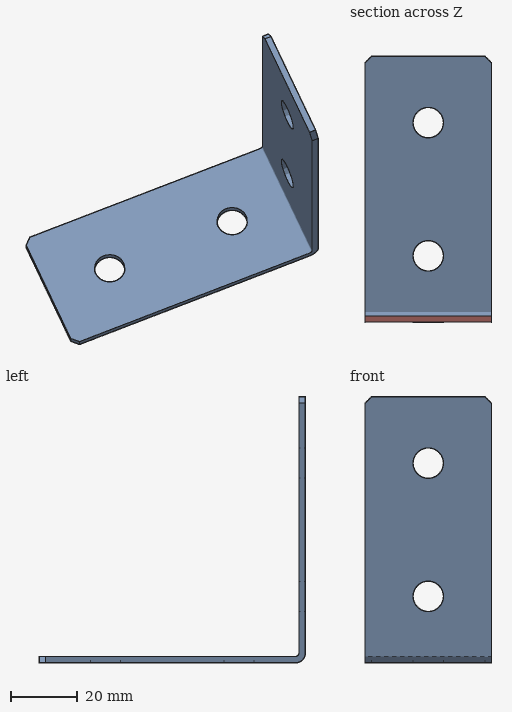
import cadquery as cq

leg_length = 80.0
width = 38.0
thickness = 2.0
inner_bend_radius = thickness / 2
outer_bend_radius = inner_bend_radius + thickness
corner_chamfer = 2.0
hole_diameter = 9.0
hole_distances = (leg_length / 4, 3 * leg_length / 4)


def bent_sheet():
    """L-shaped sheet with its outer bend corner on the X axis, centred in X."""
    profile = (
        cq.Workplane("YZ")
        .polyline([
            (0, 0),
            (leg_length, 0),
            (leg_length, thickness),
            (thickness, thickness),
            (thickness, leg_length),
            (0, leg_length),
        ])
        .close()
    )
    sheet = profile.extrude(width / 2, both=True)
    outer_edge = cq.selectors.NearestToPointSelector((0, 0, 0))
    inner_edge = cq.selectors.NearestToPointSelector((0, thickness, thickness))
    sheet = sheet.edges("|X").edges(outer_edge).fillet(outer_bend_radius)
    return sheet.edges("|X").edges(inner_edge).fillet(inner_bend_radius)


def chamfer_flange_ends(sheet):
    """Cut the two free corners of each flange."""
    sheet = sheet.faces(">Z").edges("|Y").chamfer(corner_chamfer)
    return sheet.faces(">Y").edges("|Z").chamfer(corner_chamfer)


def flange_holes(plane, extrude_direction):
    """Pins through one flange, spaced along the local Y of its plane."""
    centres = [(0, distance) for distance in hole_distances]
    return (
        cq.Workplane(plane)
        .pushPoints(centres)
        .circle(hole_diameter / 2)
        .extrude(extrude_direction * thickness)
    )


result = chamfer_flange_ends(bent_sheet())
result = result.cut(flange_holes("XY", 1))
result = result.cut(flange_holes("XZ", -1))